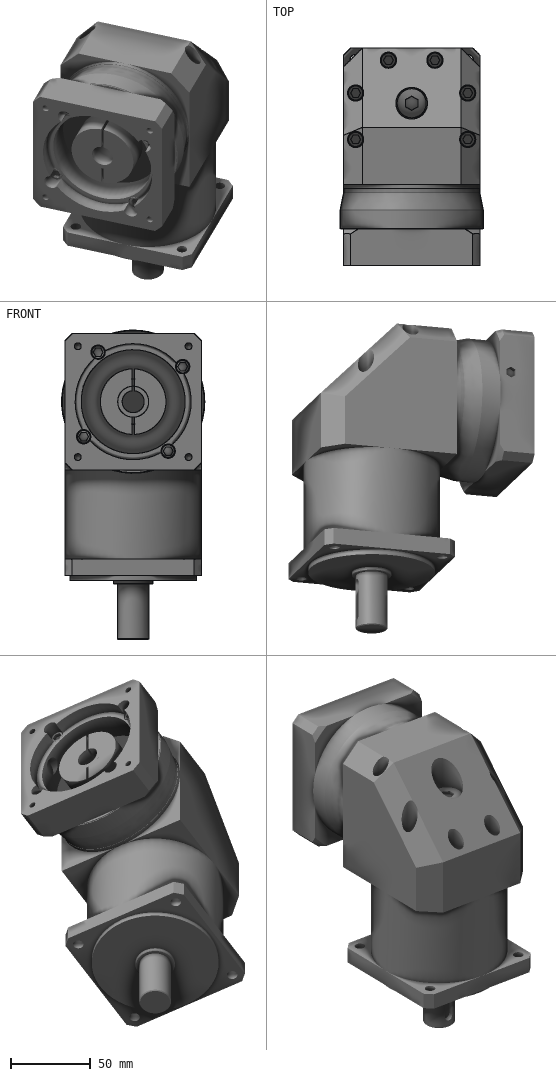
import cadquery as cq
import math


total_height = 194.5
square_side = 86.0
half_side = square_side / 2

block_bevel = 12.0
slope_reach = 36.0

case_length = 56.0
output_flange_thickness = 10.3
corner_cut = 4.7
output_hole_offset = 35.4
output_hole_diameter = 6.6
output_pilot_diameter = 79.7
output_pilot_length = 3.1

shaft_diameter = 20.0
shaft_tip_chamfer = 0.5
collar_diameter = 24.9
collar_length = 2.1
collar_chamfer = 0.4
keyway_width = 6.0
keyway_depth = 3.5
keyway_length = 27.2
keyway_tip_gap = 4.7

adapter_diameter = 90.0
adapter_length = 27.5
adapter_lip_length = 2.5
adapter_groove_end = 4.9
adapter_groove_depth = 0.2
adapter_taper_end = 16.0

motor_face_distance = 94.0
relief_disc_thickness = 0.5
relief_disc_diameter = 89.3
back_cone_radius = 54.7
motor_pilot_diameter = 73.0
motor_pilot_depth = 8.5
motor_bore_diameter = 65.4
motor_bore_depth = 27.0
motor_hole_offset = 34.8
motor_hole_diameter = 4.3
motor_hole_depth = 15.5
drill_point_angle = 118.0

screw_circle_radius = 38.1
block_screw_angle = 22.5
block_screw_floor = -31.1
block_recess_diameter = 10.1
block_head_diameter = 9.0
block_socket = 6.2
motor_screw_angle = 35.3
motor_recess_depth = 13.6
motor_recess_diameter = 9.0
motor_head_diameter = 8.0
motor_socket = 6.2
head_height = 4.7
socket_depth = 2.3

block_plug_y = 8.2
block_plug_floor = 11.7
block_plug_recess_diameter = 19.8
block_plug_diameter = 18.3
block_plug_socket = 9.0

hub_diameter = 41.2
hub_face_depth = 9.0
hub_floor_gap = 1.0
hub_neck_diameter = 28.4
hub_neck_length = 7.8
slit_width = 1.8
bush_diameter = 19.5
bush_bore_diameter = 13.8
bush_length = 18.5

plug_diameter = 10.1
plug_length = 11.5
plug_depth = 15.5
plug_height = 14.0
plug_socket = 7.0
plug_socket_depth = 3.9

shaft_tip = adapter_diameter / 2 - total_height
case_bottom = -half_side - case_length
flange_bottom = case_bottom - output_flange_thickness
pilot_bottom = flange_bottom - output_pilot_length
motor_face = -motor_face_distance
adapter_front = -half_side - adapter_length
motor_flange_back = adapter_front - relief_disc_thickness
motor_flange_thickness = motor_flange_back - motor_face
motor_bore_floor = motor_face + motor_bore_depth
hub_face = motor_face + hub_face_depth
hub_back = motor_bore_floor - hub_floor_gap
hub_neck_back = hub_back + hub_neck_length
plug_center = (-half_side, motor_face + plug_depth, plug_height)


def upright_cylinder(diameter, bottom, top, x=0.0, y=0.0):
    """Cylinder along Z between two heights."""
    return cq.Workplane("XY", origin=(x, y, bottom)).circle(diameter / 2).extrude(top - bottom)


def input_cylinder(diameter, front, back, x=0.0, z=0.0):
    """Cylinder along Y between two places, front being the more negative."""
    return cq.Workplane("XZ", origin=(x, back, z)).circle(diameter / 2).extrude(back - front)


def socket_head(plane, diameter, height, socket):
    """Round screw head on the given plane; its hexagon socket has a corner along the plane's x."""
    head = cq.Workplane(plane).circle(diameter / 2).extrude(height)
    recess = cq.Workplane(plane).workplane(offset=height - socket_depth).polygon(6, socket)
    return head.cut(recess.extrude(socket_depth))


def square_corners(offset):
    """The four points at this offset along both axes."""
    return [(first * offset, second * offset) for first in (-1, 1) for second in (-1, 1)]


def angled_block():
    outline = [
        (-half_side, -half_side),
        (half_side, -half_side),
        (half_side, slope_reach - half_side),
        (slope_reach - half_side, half_side),
        (-half_side, half_side),
    ]
    block = cq.Workplane("YZ").polyline(outline).close().extrude(half_side, both=True)
    for side in (-1, 1):
        block = block.cut(block_bevels(side))
    return block


def block_bevels(side):
    """Material outside the 45-degree bevels along the back, slope and top edges of one side."""
    reach = 2 * square_side
    edge = half_side - block_bevel
    cutter = None
    for normal_angle, distance in ((0, half_side), (45, slope_reach / math.sqrt(2)), (90, half_side)):
        wedge = (
            cq.Workplane("XY")
            .polyline([
                (side * edge, distance),
                (side * (edge + reach), distance - reach),
                (side * (edge + reach), distance),
            ])
            .close()
            .extrude(reach, both=True)
            .rotate((0, 0, 0), (1, 0, 0), normal_angle)
        )
        cutter = wedge if cutter is None else cutter.union(wedge)
    return cutter


def make_housing():
    body = angled_block()
    body = body.union(upright_cylinder(square_side, case_bottom, -half_side))
    flange = (
        cq.Workplane("XY", origin=(0, 0, flange_bottom))
        .rect(square_side, square_side)
        .extrude(output_flange_thickness)
        .edges("|Z")
        .chamfer(corner_cut)
    )
    body = body.union(flange)
    body = body.union(upright_cylinder(output_pilot_diameter, pilot_bottom, flange_bottom))
    for x, y in square_corners(output_hole_offset):
        body = body.cut(upright_cylinder(output_hole_diameter, flange_bottom, case_bottom, x, y))

    for step in range(-1, 5):
        angle = math.radians(block_screw_angle + 45 * step)
        x = screw_circle_radius * math.cos(angle)
        y = screw_circle_radius * math.sin(angle)
        body = body.cut(upright_cylinder(block_recess_diameter, block_screw_floor, half_side, x, y))
        plane = cq.Plane((x, y, block_screw_floor), (1, 0, 0), (0, 0, 1))
        body = body.union(socket_head(plane, block_head_diameter, head_height, block_socket))

    recess = upright_cylinder(
        block_plug_recess_diameter, block_plug_floor, half_side, 0, block_plug_y
    )
    plane = cq.Plane((0, block_plug_y, block_plug_floor), (0, 1, 0), (0, 0, 1))
    body = body.cut(recess)
    body = body.union(socket_head(plane, block_plug_diameter, head_height, block_plug_socket))

    return body.cut(upright_cylinder(shaft_diameter, pilot_bottom, case_bottom))


def make_output_shaft():
    shaft = upright_cylinder(shaft_diameter, shaft_tip, case_bottom)
    shaft = shaft.faces("<Z").chamfer(shaft_tip_chamfer)
    collar = upright_cylinder(collar_diameter, pilot_bottom - collar_length, pilot_bottom)
    shaft = shaft.union(collar.faces("<Z").chamfer(collar_chamfer))
    keyway_middle = shaft_tip + keyway_tip_gap + keyway_length / 2
    keyway = (
        cq.Workplane("XZ", origin=(0, shaft_diameter / 2, keyway_middle))
        .slot2D(keyway_length, keyway_width, 90)
        .extrude(keyway_depth)
    )
    return shaft.cut(keyway)


def make_adapter():
    lip_radius = half_side
    groove_radius = half_side - adapter_groove_depth
    lip_end = -half_side - adapter_lip_length
    groove_end = -half_side - adapter_groove_end
    taper_end = -half_side - adapter_taper_end
    rim_radius = adapter_diameter / 2
    outline = [
        (0, -half_side),
        (lip_radius, -half_side),
        (lip_radius, lip_end),
        (groove_radius, lip_end),
        (groove_radius, groove_end),
        (rim_radius, taper_end),
        (rim_radius, adapter_front),
        (0, adapter_front),
    ]
    ring = cq.Workplane("XY").polyline(outline).close().revolve(360, (0, 0), (0, 1))
    ring = ring.cut(input_cylinder(motor_pilot_diameter, adapter_front, motor_bore_floor))
    return ring.cut(input_cylinder(hub_neck_diameter, motor_bore_floor, hub_neck_back))


def drilled_hole(x, z):
    """Blind hole with a conical bottom, drilled from the motor face."""
    radius = motor_hole_diameter / 2
    hole_end = motor_face + motor_hole_depth
    point_height = radius / math.tan(math.radians(drill_point_angle / 2))
    outline = [(0, motor_face), (radius, motor_face), (radius, hole_end), (0, hole_end + point_height)]
    hole = cq.Workplane("XY").polyline(outline).close().revolve(360, (0, 0), (0, 1))
    return hole.translate((x, 0, z))


def make_motor_flange():
    plate = (
        cq.Workplane("XZ", origin=(0, motor_flange_back, 0))
        .rect(square_side, square_side)
        .extrude(motor_flange_thickness)
        .edges("|Y")
        .chamfer(corner_cut)
    )
    cone = (
        cq.Workplane("XY")
        .polyline([
            (0, motor_flange_back),
            (back_cone_radius, motor_flange_back),
            (back_cone_radius + motor_flange_thickness, motor_face),
            (0, motor_face),
        ])
        .close()
        .revolve(360, (0, 0), (0, 1))
    )
    body = plate.intersect(cone)
    body = body.union(input_cylinder(relief_disc_diameter, motor_flange_back, adapter_front))
    body = body.union(input_cylinder(motor_pilot_diameter, motor_flange_back, motor_bore_floor))
    body = body.cut(input_cylinder(motor_bore_diameter, motor_face, motor_bore_floor))
    body = body.cut(input_cylinder(motor_pilot_diameter, motor_face, motor_face + motor_pilot_depth))
    for x, z in square_corners(motor_hole_offset):
        body = body.cut(drilled_hole(x, z))

    recess_floor = motor_face + motor_recess_depth
    for step in range(4):
        angle = math.radians(motor_screw_angle + 90 * step)
        x = screw_circle_radius * math.cos(angle)
        z = screw_circle_radius * math.sin(angle)
        body = body.cut(input_cylinder(motor_recess_diameter, motor_face, recess_floor, x, z))
        plane = cq.Plane((x, recess_floor, z), (1, 0, 0), (0, -1, 0))
        body = body.union(socket_head(plane, motor_head_diameter, head_height, motor_socket))

    access_hole = (
        cq.Workplane("YZ", origin=plug_center).circle(plug_diameter / 2).extrude(half_side / 2)
    )
    return body.cut(access_hole)


def make_access_plug():
    plug = cq.Workplane("YZ", origin=plug_center).circle(plug_diameter / 2).extrude(plug_length)
    socket = (
        cq.Workplane("YZ", origin=plug_center)
        .transformed(rotate=(0, 0, 90))
        .polygon(6, plug_socket)
        .extrude(plug_socket_depth)
    )
    return plug.cut(socket)


def make_clamp_hub():
    hub = input_cylinder(hub_diameter, hub_face, hub_back)
    slit = cq.Workplane("XZ", origin=(0, hub_back, 0)).rect(slit_width, hub_diameter)
    hub = hub.cut(slit.extrude(hub_back - hub_face))
    hub = hub.union(input_cylinder(hub_neck_diameter, hub_back, hub_neck_back))
    return hub.cut(input_cylinder(bush_diameter, hub_face, hub_face + bush_length))


def make_bush():
    bush_back = hub_face + bush_length
    bush = input_cylinder(bush_diameter, hub_face, bush_back)
    bush = bush.cut(input_cylinder(bush_bore_diameter, hub_face, bush_back))
    slit = (
        cq.Workplane("XZ", origin=(0, bush_back, bush_diameter / 2))
        .rect(slit_width, bush_diameter)
        .extrude(bush_length)
    )
    return bush.cut(slit)


housing = make_housing()
output_shaft = make_output_shaft()
adapter = make_adapter()
motor_flange = make_motor_flange()
access_plug = make_access_plug()
clamp_hub = make_clamp_hub()
bush = make_bush()

result = cq.Compound.makeCompound([
    housing.val(),
    output_shaft.val(),
    adapter.val(),
    motor_flange.val(),
    access_plug.val(),
    clamp_hub.val(),
    bush.val(),
])